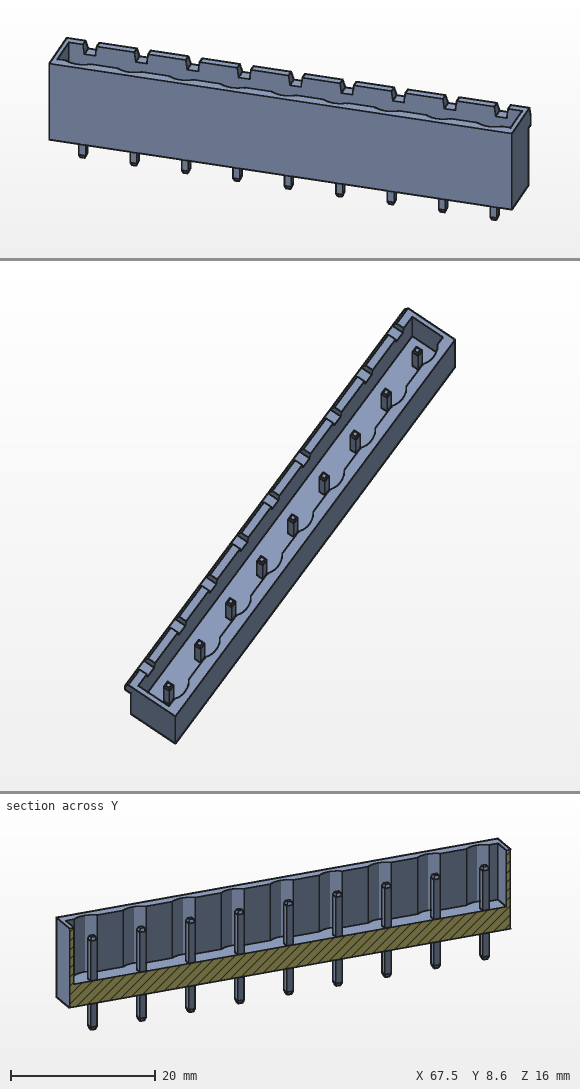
import cadquery as cq

pin_count = 9
pitch = 7.5
pin_size = 1.0
pin_tail = 4.0
pin_top = 10.0
pin_taper_length = 0.5
pin_tip_size = 0.6

housing_length = pin_count * pitch
housing_width = 7.6
housing_height = 12.0
front_wall = 1.6
back_wall = 0.8
end_wall = 0.7
floor_thickness = 3.5

lip_overhang = 1.0
lip_height = 3.0
lip_bevel_run = 0.6
lip_bevel_drop = 1.5

scallop_width = 3.5
scallop_depth = 0.6

notch_width = 2.0
notch_floor_width = 1.6
notch_depth = 1.5

back_face = housing_width
lip_face = housing_width + lip_overhang
pin_y = housing_width / 2
cavity_height = housing_height - floor_thickness
first_pin_x = -(pin_count - 1) * pitch / 2
pin_positions = [first_pin_x + i * pitch for i in range(pin_count)]


def make_housing():
    """Extrude the side outline, lip included, along the whole length."""
    outline = [
        (0, 0),
        (back_face, 0),
        (back_face, housing_height - lip_height),
        (lip_face, housing_height - lip_height),
        (lip_face, housing_height - lip_bevel_drop),
        (lip_face - lip_bevel_run, housing_height),
        (0, housing_height),
    ]
    return cq.Workplane("YZ").polyline(outline).close().extrude(housing_length / 2, both=True)


def make_cavity():
    """Open-topped socket between the walls."""
    return cq.Workplane("XY").box(
        housing_length - 2 * end_wall,
        back_face - back_wall - front_wall,
        cavity_height,
        centered=(True, False, False),
    ).translate((0, front_wall, floor_thickness))


def make_scallop(x):
    """Shallow arc-shaped groove in the inner face of the front wall."""
    return (
        cq.Workplane("XY", origin=(x, front_wall, floor_thickness))
        .moveTo(-scallop_width / 2, 0)
        .threePointArc((0, -scallop_depth), (scallop_width / 2, 0))
        .close()
        .extrude(cavity_height)
    )


def make_notch(x):
    """Slightly tapered, flat-bottomed notch through the back wall and lip."""
    outline = [
        (-notch_width / 2, 0),
        (-notch_floor_width / 2, -notch_depth),
        (notch_floor_width / 2, -notch_depth),
        (notch_width / 2, 0),
    ]
    return (
        cq.Workplane("XZ", origin=(x, lip_face, housing_height))
        .polyline(outline)
        .close()
        .extrude(back_wall + lip_overhang)
    )


def make_pin(x):
    """Square pin through the floor with a tapered point at each end."""
    shaft = cq.Workplane("XY", origin=(x, pin_y, -pin_tail + pin_taper_length)).rect(pin_size, pin_size)
    shaft = shaft.extrude(pin_tail + pin_top - 2 * pin_taper_length)
    for selector in (">Z", "<Z"):
        point = (
            shaft.faces(selector)
            .workplane()
            .rect(pin_size, pin_size)
            .workplane(offset=pin_taper_length)
            .rect(pin_tip_size, pin_tip_size)
            .loft(combine=False)
        )
        shaft = shaft.union(point)
    return shaft


result = make_housing().cut(make_cavity())
for pin_x in pin_positions:
    result = result.cut(make_scallop(pin_x)).cut(make_notch(pin_x))
for pin_x in pin_positions:
    result = result.union(make_pin(pin_x))